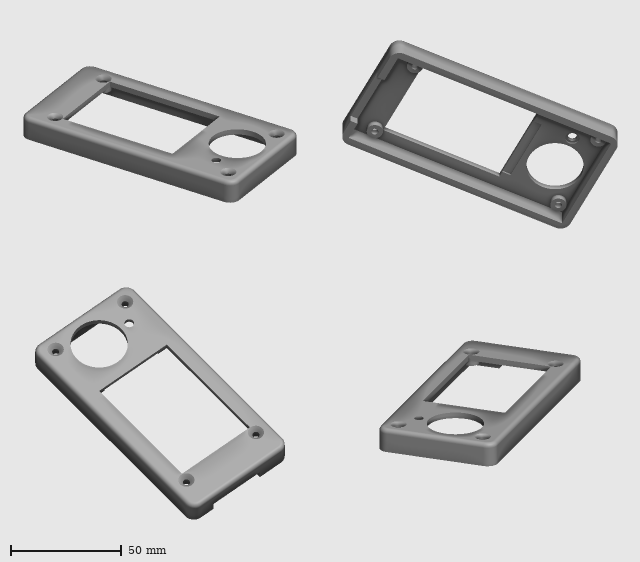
import cadquery as cq

length = 115.0
width = 57.0
height = 11.0
corner_radius = 5.0
top_edge_radius = 2.1
wall = 3.5
plate_thickness = 2.8
cavity_depth = height - plate_thickness

window_left, window_right = -39.3, 19.7
window_front, window_back = -20.4, 19.5

thinned_thickness = 2.0
thinned_top = height - thinned_thickness
relief_width = 4.0
relief_front, relief_back = -15.2, 16.6
counterbore_diameter = 6.4

openings_x = 39.6
large_opening_y = 3.1
large_opening_diameter = 26.0
small_opening_y = -14.6
small_opening_diameter = 4.4

screw_xs = (-43.2, 49.8)
screw_ys = (-20.7, 20.2)
screw_centers = [(x, y) for x in screw_xs for y in screw_ys]
screw_diameter = 3.2
boss_diameter = 7.4
boss_depth = 2.8
countersink_diameter = 7.4
countersink_angle = 96

notch_front, notch_back = -11.3, 16.1
notch_height = 3.9


def box_between(x_min, x_max, y_min, y_max, z_min, z_max):
    """Axis-aligned box given by its limits."""
    size = (x_max - x_min, y_max - y_min, z_max - z_min)
    return cq.Workplane("XY").box(*size, centered=False).translate((x_min, y_min, z_min))


def make_shell():
    """Rounded cover, open at the bottom."""
    body = cq.Workplane("XY").box(length, width, height, centered=(True, True, False))
    body = body.edges("|Z").fillet(corner_radius)
    body = body.faces(">Z").edges().fillet(top_edge_radius)
    cavity = cq.Workplane("XY").box(
        length - 2 * wall, width - 2 * wall, cavity_depth, centered=(True, True, False)
    )
    return body.cut(cavity)


def add_screw_bosses(body):
    """Round bosses that lengthen the screw holes below the plate."""
    bosses = (
        cq.Workplane("XY", origin=(0, 0, cavity_depth - boss_depth))
        .pushPoints(screw_centers)
        .circle(boss_diameter / 2)
        .extrude(boss_depth)
    )
    return body.union(bosses)


def cut_round_opening(body, y, diameter, top=height):
    """Round hole through the plate, or from below up to the given height."""
    cutter = cq.Workplane("XY").center(openings_x, y).circle(diameter / 2).extrude(top)
    return body.cut(cutter)


def cut_screw_holes(body):
    """Countersunk holes near the four corners."""
    top = body.faces(">Z").workplane(origin=(0, 0, height))
    return top.pushPoints(screw_centers).cskHole(screw_diameter, countersink_diameter, countersink_angle)


window = box_between(window_left, window_right, window_front, window_back, 0, height)
window_relief = box_between(
    window_right, window_right + relief_width, relief_front, relief_back, 0, thinned_top
)
notch = box_between(-length / 2, -length / 2 + wall, notch_front, notch_back, 0, notch_height)

result = make_shell()
result = add_screw_bosses(result)
result = cut_screw_holes(result)
result = result.cut(window)
result = result.cut(window_relief)
result = cut_round_opening(result, large_opening_y, large_opening_diameter)
result = cut_round_opening(result, small_opening_y, small_opening_diameter)
result = cut_round_opening(result, small_opening_y, counterbore_diameter, thinned_top)
result = result.cut(notch)